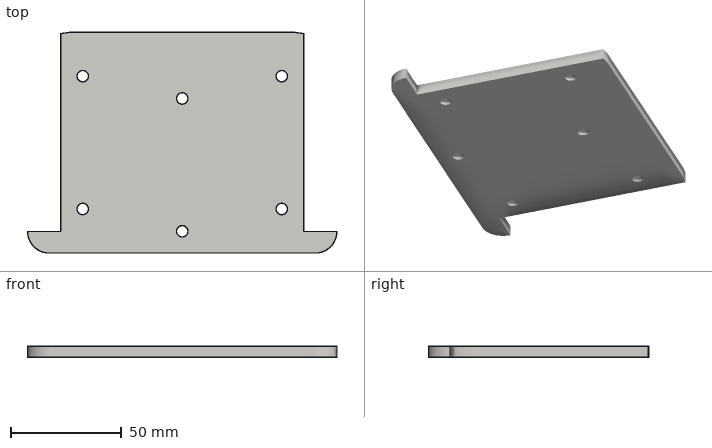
import cadquery as cq

length = 140.0
depth = 100.0
thickness = 5.0
body_width = 110.0
flange_depth = 10.0
taper_width = 4.0
taper_depth = 0.5

hole_diameter = 5.0
side_hole_spacing = 90.0
hole_row_pitch = 60.0
side_hole_front = 20.0
middle_hole_front = 10.0

half_length = length / 2
half_body = body_width / 2


def plate():
    """Flat body with a wider front flange whose ends are quarter circles."""
    straight_half = half_length - flange_depth
    outline = (
        cq.Workplane("XY")
        .moveTo(-straight_half, 0)
        .lineTo(straight_half, 0)
        .radiusArc((half_length, flange_depth), -flange_depth)
        .lineTo(half_body, flange_depth)
        .lineTo(half_body, depth - taper_depth)
        .lineTo(half_body - taper_width, depth)
        .lineTo(-half_body + taper_width, depth)
        .lineTo(-half_body, depth - taper_depth)
        .lineTo(-half_body, flange_depth)
        .lineTo(-half_length, flange_depth)
        .radiusArc((-straight_half, 0), -flange_depth)
        .close()
    )
    return outline.extrude(thickness)


def hole_centers():
    """Two rows, each with a hole on either side and one on the centerline."""
    centers = []
    for row_offset in (0, hole_row_pitch):
        for side in (-1, 1):
            centers.append((side * side_hole_spacing / 2, side_hole_front + row_offset))
        centers.append((0, middle_hole_front + row_offset))
    return centers


holes = (
    cq.Workplane("XY")
    .pushPoints(hole_centers())
    .circle(hole_diameter / 2)
    .extrude(thickness)
)

result = plate().cut(holes)